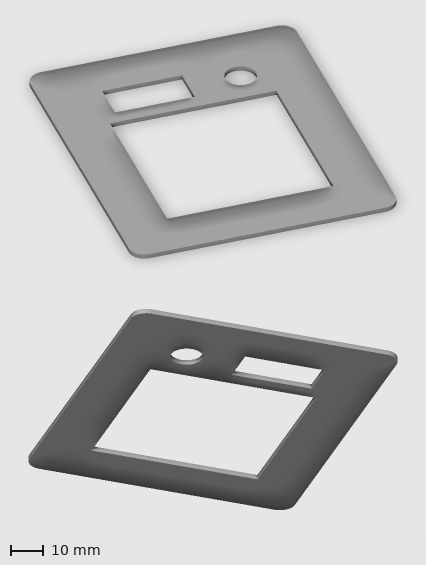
import cadquery as cq

plate_length = 103.3
plate_width = 86.7
plate_thickness = 1.5
corner_radius = 5.0

window_side = 54.2
window_x = 8.4

column_x = -29.9
hole_diameter = 10.0
hole_y = 19.2
slot_length_x = 12.2
slot_length_y = 26.0
slot_y = -10.7

plate = (
    cq.Workplane("XY")
    .rect(plate_length, plate_width)
    .extrude(plate_thickness)
    .edges("|Z")
    .fillet(corner_radius)
)

window = cq.Workplane("XY").center(window_x, 0).rect(window_side, window_side).extrude(plate_thickness)
hole = cq.Workplane("XY").center(column_x, hole_y).circle(hole_diameter / 2).extrude(plate_thickness)
slot = cq.Workplane("XY").center(column_x, slot_y).rect(slot_length_x, slot_length_y).extrude(plate_thickness)

result = plate.cut(window).cut(hole).cut(slot)